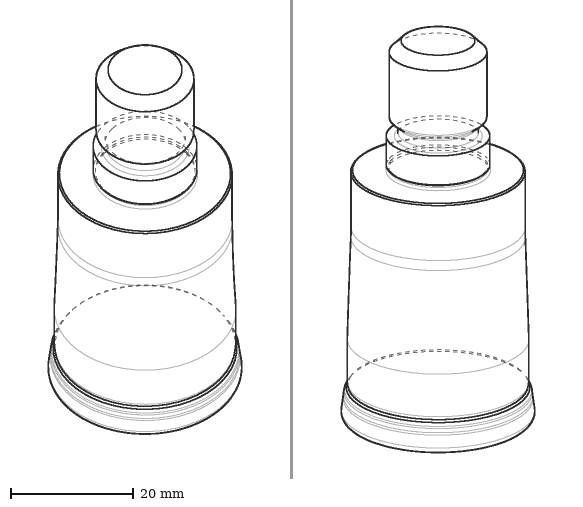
import cadquery as cq
import math

total_height = 68.0

stud_radius = 8.0
stud_chamfer = 2.0
stud_bottom = 54.4
neck_radius = 6.6
neck_cone_angle = 53
neck_cone_blend = 0.5
neck_foot_fillet = 0.6

collar_radius = 8.5
collar_top = 51.15
collar_bottom = 46.0
undercut_depth = 0.35
undercut_fillet = 0.4

body_radius = 14.3
body_top = 45.0
body_chamfer = 0.3
skirt_radius = 14.9
taper_top = 34.15
taper_bottom = 15.1
taper_blend_length = 1.8
relief_top = 7.55
relief_depth = 0.12
relief_bottom = 6.95

seam_height = 6.5
flare_angle = 35

shoulder_height = 5.85
shoulder_fillet = 0.95
corner_radius = 16.0
corner_fillet = 1.1
knee_height = 4.75
knee_blend_length = 0.4
upper_flank_angle = 6.5
lower_flank_angle = 7.5
tip_radius = 10.6
tip_cone_angle = 15

relief_radius = skirt_radius - relief_depth
flare_slope = math.tan(math.radians(flare_angle))
seam_radius = relief_radius + flare_slope * (relief_bottom - seam_height)


def turned(outline):
    """Close a half outline, drawn in the XZ plane, and turn it around the Z axis."""
    return outline.close().revolve(360, (0, 0, 0), (0, 1, 0))


def fillet_ring(solid, radius, height, size):
    """Round the circular edge that has this radius and height."""
    near = 0.01
    reach = radius + near
    ring = cq.selectors.BoxSelector(
        (-reach, -reach, height - near), (reach, reach, height + near), boundingbox=True
    )
    return solid.edges(ring).fillet(size)


def make_shank():
    """Stud, neck, collar, tapered body and the start of the flare, turned in one piece."""
    cone_slope = math.tan(math.radians(neck_cone_angle))
    neck_top = stud_bottom - (stud_radius - neck_radius) / cone_slope
    undercut_radius = collar_radius - undercut_depth
    undercut_top = collar_bottom - undercut_depth / cone_slope
    taper_slope = (skirt_radius - body_radius) / (taper_top - taper_bottom)
    half_blend = taper_blend_length / 2

    shank = turned(
        cq.Workplane("XZ")
        .moveTo(0, seam_height)
        .lineTo(seam_radius, seam_height)
        .lineTo(relief_radius, relief_bottom)
        .lineTo(skirt_radius, relief_top)
        .lineTo(skirt_radius, taper_bottom)
        .lineTo(body_radius + taper_slope * half_blend, taper_top - half_blend)
        .tangentArcPoint((body_radius, taper_top + half_blend), relative=False)
        .lineTo(body_radius, body_top - body_chamfer)
        .lineTo(body_radius - body_chamfer, body_top)
        .lineTo(undercut_radius + undercut_fillet, body_top)
        .radiusArc((undercut_radius, body_top + undercut_fillet), undercut_fillet)
        .lineTo(undercut_radius, undercut_top)
        .lineTo(collar_radius, collar_bottom)
        .lineTo(collar_radius, collar_top)
        .lineTo(neck_radius + neck_foot_fillet, collar_top)
        .radiusArc((neck_radius, collar_top + neck_foot_fillet), neck_foot_fillet)
        .lineTo(neck_radius, neck_top)
        .lineTo(stud_radius, stud_bottom)
        .lineTo(stud_radius, total_height - stud_chamfer)
        .lineTo(stud_radius - stud_chamfer, total_height)
        .lineTo(0, total_height)
    )
    shank = fillet_ring(shank, neck_radius, neck_top, neck_cone_blend)
    shank = fillet_ring(shank, stud_radius, stud_bottom, neck_cone_blend)
    return shank


def make_head():
    """Flared head under the shank, with a rounded rim and a blend along its flank."""
    corner_height = (corner_radius - tip_radius) * math.tan(math.radians(tip_cone_angle))
    lower_slope = math.tan(math.radians(lower_flank_angle))
    upper_slope = math.tan(math.radians(upper_flank_angle))
    knee_radius = corner_radius - lower_slope * (knee_height - corner_height)
    shoulder_radius = knee_radius - upper_slope * (shoulder_height - knee_height)
    half_blend = knee_blend_length / 2

    head = turned(
        cq.Workplane("XZ")
        .lineTo(tip_radius, 0)
        .lineTo(corner_radius, corner_height)
        .lineTo(knee_radius + lower_slope * half_blend, knee_height - half_blend)
        .tangentArcPoint(
            (knee_radius - upper_slope * half_blend, knee_height + half_blend), relative=False
        )
        .lineTo(shoulder_radius, shoulder_height)
        .lineTo(seam_radius, seam_height)
        .lineTo(0, seam_height)
    )
    head = fillet_ring(head, corner_radius, corner_height, corner_fillet)
    head = fillet_ring(head, shoulder_radius, shoulder_height, shoulder_fillet)
    return head


shank = make_shank()
head = make_head()
result = cq.Compound.makeCompound([shank.val(), head.val()])